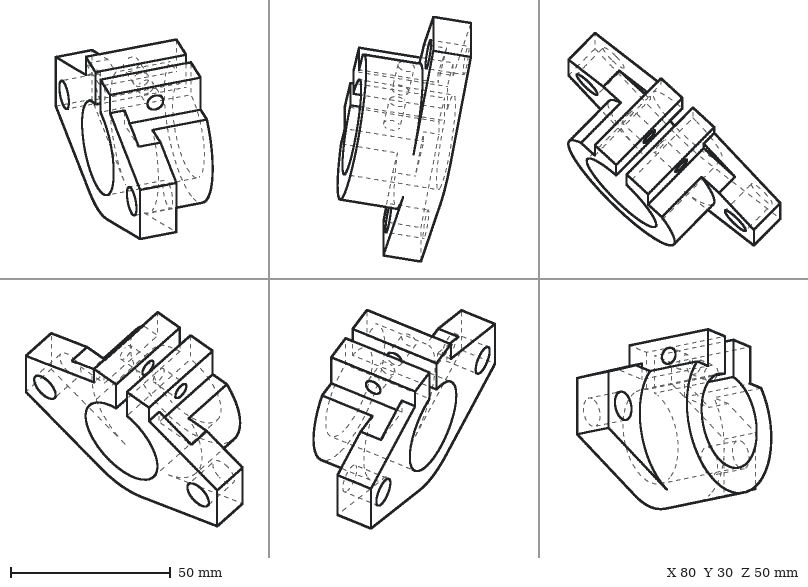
import cadquery as cq
import math

flange_width = 80.0
flange_thickness = 12.0
flange_end_height = 18.4
bolt_spacing = 64.0
bolt_diameter = 9.0

barrel_radius = 23.0
barrel_length = 30.0
bore_diameter = 30.0

ear_top = 27.0
ears_width = 23.0
slot_width = 4.5
screw_diameter = 5.2
screw_height = 20.95

shoulder_height = 15.0
shoulder_start = 4.8


def box(x_range, y_range, z_range):
    """Block filling the given ranges along X, Y and Z."""
    size = [high - low for low, high in (x_range, y_range, z_range)]
    corner = (x_range[0], y_range[0], z_range[0])
    return cq.Workplane("XY").box(*size, centered=False).translate(corner)


def cylinder_y(radius, length, x=0.0):
    """Cylinder along Y, starting at the front face."""
    return cq.Workplane("XZ").center(x, 0).circle(radius).extrude(-length)


def flange():
    """Plate whose sloping edges are tangent to the barrel circle."""
    half_width = flange_width / 2
    half_end = flange_end_height / 2
    corner_distance = math.hypot(half_width, half_end)
    tangent_angle = math.atan2(half_end, half_width) + math.acos(barrel_radius / corner_distance)
    tangent_x = barrel_radius * math.cos(tangent_angle)
    tangent_z = barrel_radius * math.sin(tangent_angle)
    return (
        cq.Workplane("XZ")
        .moveTo(half_width, -half_end)
        .lineTo(half_width, half_end)
        .lineTo(tangent_x, tangent_z)
        .threePointArc((0, barrel_radius), (-tangent_x, tangent_z))
        .lineTo(-half_width, half_end)
        .lineTo(-half_width, -half_end)
        .lineTo(-tangent_x, -tangent_z)
        .threePointArc((0, -barrel_radius), (tangent_x, -tangent_z))
        .close()
        .extrude(-flange_thickness)
    )


def shoulder_cut():
    """Everything above the shoulders, behind the front web of the flange."""
    return box(
        (-flange_width / 2, flange_width / 2),
        (shoulder_start, barrel_length),
        (shoulder_height, ear_top),
    )


def ears():
    """Solid clamp block, before the slot divides it into two ears."""
    return box((-ears_width / 2, ears_width / 2), (0, barrel_length), (0, ear_top))


def slot():
    """Clamping gap between the ears, from the bore axis upward."""
    return box((-slot_width / 2, slot_width / 2), (0, barrel_length), (0, ear_top))


def screw_hole():
    """Clamp screw hole along X through both ears."""
    return (
        cq.Workplane("YZ")
        .center(barrel_length / 2, screw_height)
        .circle(screw_diameter / 2)
        .extrude(ears_width / 2, both=True)
    )


result = flange().union(cylinder_y(barrel_radius, barrel_length))
result = result.cut(shoulder_cut()).union(ears())
result = result.cut(cylinder_y(bore_diameter / 2, barrel_length))
result = result.cut(slot()).cut(screw_hole())
for bolt_x in (-bolt_spacing / 2, bolt_spacing / 2):
    result = result.cut(cylinder_y(bolt_diameter / 2, flange_thickness, bolt_x))